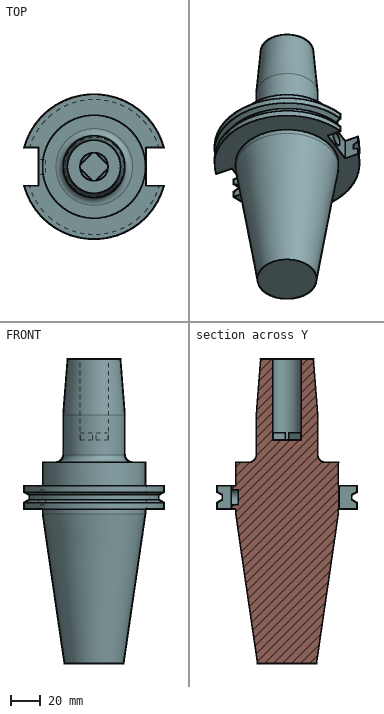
import cadquery as cq
import math


gauge_radius = 69.85 / 2
taper_length = 101.6
taper_ratio = 7 / 24
taper_end_radius = gauge_radius - taper_length * taper_ratio / 2

flange_radius = 98.4 / 2
flange_bottom = 3.175
flange_thickness = 15.875
flange_top = flange_bottom + flange_thickness
flange_middle = flange_bottom + flange_thickness / 2

groove_floor_radius = 45.8
groove_floor_width = 3.2
groove_wall_angle = 30
groove_wall_rise = (flange_radius - groove_floor_radius) * math.tan(math.radians(groove_wall_angle))
groove_floor_half = groove_floor_width / 2
groove_mouth_half = groove_floor_half + groove_wall_rise

collar_radius = gauge_radius
collar_top = 35.0
nose_radius = 21.0
nose_root_fillet = 5.0
nose_taper_start = 67.0
nose_tip_radius = 18.0
nose_top = 105.0

bore_diameter = 19.05
bore_depth = 50.0

socket_across_flats = 15.0
socket_depth = 5.0
socket_turn = 45

slot_width = 25.8
slot_floor_left = 37.7
slot_floor_right = 35.3

chip_hole_diameter = 10.0
chip_hole_depth = 4.6


def make_body():
    """Turned body: half profile in the XZ plane revolved about Z."""
    fillet_top = collar_top + nose_root_fillet
    fillet_outer = nose_radius + nose_root_fillet
    fillet_inset = nose_root_fillet * (1 - math.sqrt(0.5))
    profile = (
        cq.Workplane("XZ")
        .moveTo(0, -taper_length)
        .lineTo(taper_end_radius, -taper_length)
        .lineTo(gauge_radius, 0)
        .lineTo(gauge_radius, flange_bottom)
        .lineTo(flange_radius, flange_bottom)
        .lineTo(flange_radius, flange_middle - groove_mouth_half)
        .lineTo(groove_floor_radius, flange_middle - groove_floor_half)
        .lineTo(groove_floor_radius, flange_middle + groove_floor_half)
        .lineTo(flange_radius, flange_middle + groove_mouth_half)
        .lineTo(flange_radius, flange_top)
        .lineTo(collar_radius, flange_top)
        .lineTo(collar_radius, collar_top)
        .lineTo(fillet_outer, collar_top)
        .threePointArc(
            (nose_radius + fillet_inset, collar_top + fillet_inset),
            (nose_radius, fillet_top),
        )
        .lineTo(nose_radius, nose_taper_start)
        .lineTo(nose_tip_radius, nose_top)
        .lineTo(0, nose_top)
        .close()
    )
    return profile.revolve(360, (0, 0, 0), (0, 1, 0))


def make_bore():
    """Blind tool bore from the nose end face."""
    return cq.Workplane("XY").workplane(offset=nose_top).circle(bore_diameter / 2).extrude(-bore_depth)


def make_socket():
    """Square socket below the bore floor, kept within the bore diameter."""
    floor = cq.Workplane("XY").workplane(offset=nose_top - bore_depth)
    square = floor.rect(socket_across_flats, socket_across_flats).extrude(-socket_depth)
    square = square.rotate((0, 0, 0), (0, 0, 1), socket_turn)
    round_limit = floor.circle(bore_diameter / 2).extrude(-socket_depth)
    return square.intersect(round_limit)


def make_drive_slot(side, floor_distance):
    """Slot through the flange thickness; side is -1 or +1 along X."""
    return (
        cq.Workplane("XY")
        .workplane(offset=flange_bottom)
        .center(side * (floor_distance + flange_radius / 2), 0)
        .rect(flange_radius, slot_width)
        .extrude(flange_thickness)
    )


def make_chip_hole():
    """Round blind hole running along +X from the -X slot floor."""
    return (
        cq.Workplane("YZ")
        .workplane(offset=-slot_floor_left)
        .center(0, flange_middle)
        .circle(chip_hole_diameter / 2)
        .extrude(chip_hole_depth)
    )


result = (
    make_body()
    .cut(make_bore())
    .cut(make_socket())
    .cut(make_drive_slot(-1, slot_floor_left))
    .cut(make_drive_slot(1, slot_floor_right))
    .cut(make_chip_hole())
)